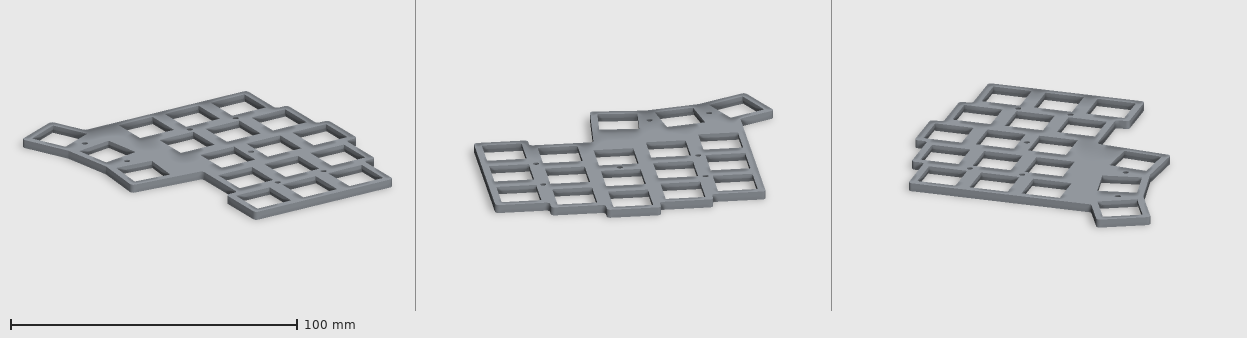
import cadquery as cq
import math

thickness = 3.0
key_pitch = 19.1
key_opening = 14.0
ledge_height = 1.5
ledge_width = 0.5
column_stagger = 4.7
corner_radius = 1.3
screw_diameter = 2.2
half_pitch = key_pitch / 2

matrix_center_x = 6.2
matrix_center_y = 21.0
rows = (-1, 0, 1)
column_steps = {-2: -2, -1: -1, 0: 0, 1: -1, 2: -2}

thumb_arc_radius = 83.8
thumb_step = 15.0
middle_thumb_angle = 10.0
middle_thumb_x = -20.7
middle_thumb_y = -30.8
inner_thumb_angle = middle_thumb_angle - thumb_step
outer_thumb_angle = middle_thumb_angle + thumb_step
thumb_angles = (inner_thumb_angle, middle_thumb_angle, outer_thumb_angle)
thumb_bend_angles = (middle_thumb_angle - thumb_step / 2, middle_thumb_angle + thumb_step / 2)


def polar_offset(radius, angle):
    """Offset of a point at this radius, with the angle measured from +Y towards -X."""
    turn = math.radians(angle)
    return -radius * math.sin(turn), radius * math.cos(turn)


arc_offset_x, arc_offset_y = polar_offset(thumb_arc_radius, middle_thumb_angle)
arc_center_x = middle_thumb_x - arc_offset_x
arc_center_y = middle_thumb_y - arc_offset_y


def arc_point(radius, angle, sideways=0.0):
    """Point above the thumb arc centre, moved sideways along the key's own X direction."""
    offset_x, offset_y = polar_offset(radius, angle)
    turn = math.radians(angle)
    x = arc_center_x + offset_x + sideways * math.cos(turn)
    y = arc_center_y + offset_y + sideways * math.sin(turn)
    return x, y


def column_x(column):
    return matrix_center_x + column * key_pitch


def key_y(column, row):
    return matrix_center_y + column_steps[column] * column_stagger + row * key_pitch


def column_top(column):
    return key_y(column, 1) + half_pitch


def column_bottom(column):
    return key_y(column, -1) - half_pitch


cluster_bottom_radius = thumb_arc_radius - half_pitch
cluster_top_radius = thumb_arc_radius + half_pitch
bend_radius = cluster_bottom_radius / math.cos(math.radians(thumb_step / 2))
bend_points = [arc_point(bend_radius, angle) for angle in thumb_bend_angles]
inner_bottom = arc_point(cluster_bottom_radius, inner_thumb_angle, half_pitch)
outer_bottom = arc_point(cluster_bottom_radius, outer_thumb_angle, -half_pitch)
outer_top = arc_point(cluster_top_radius, outer_thumb_angle, -half_pitch)

left_edge = column_x(-2) - half_pitch
outer_slope = math.tan(math.radians(outer_thumb_angle))
left_junction = (left_edge, outer_top[1] + (left_edge - outer_top[0]) * outer_slope)
notch_y = column_bottom(1)
inner_slope = math.tan(math.radians(inner_thumb_angle))
notch_corner = (inner_bottom[0] - (notch_y - inner_bottom[1]) * inner_slope, notch_y)


def matrix_side_corners():
    """Corners from the left junction, clockwise over the matrix, to the inner thumb key."""
    corners = [left_junction]
    for column in sorted(column_steps):
        corners.append((column_x(column) - half_pitch, column_top(column)))
        corners.append((column_x(column) + half_pitch, column_top(column)))
    step_x = column_x(2) - half_pitch
    corners.append((column_x(2) + half_pitch, column_bottom(2)))
    corners.append((step_x, column_bottom(2)))
    corners.append((step_x, notch_y))
    corners.append(notch_corner)
    corners.append(inner_bottom)
    return corners


def is_rounded(edge):
    """All upright edges are rounded except the two shallow bends below the thumb keys."""
    center = edge.Center()
    return all(math.dist((center.x, center.y), bend) > corner_radius for bend in bend_points)


def make_plate():
    outline = matrix_side_corners() + bend_points + [outer_bottom, outer_top]
    plate = cq.Workplane("XY").polyline(outline).close().extrude(thickness)
    upright_edges = [edge for edge in plate.edges("|Z").vals() if is_rounded(edge)]
    return plate.newObject(upright_edges).fillet(corner_radius)


def make_key_cutter(x, y, angle=0.0):
    """Square opening that widens on all four sides below the ledge, which holds the key switch."""
    base = cq.Workplane("XY").transformed(offset=(x, y, 0), rotate=(0, 0, angle))
    wide_opening = key_opening + 2 * ledge_width
    through_cutter = base.rect(key_opening, key_opening).extrude(thickness)
    recess_cutter = base.rect(wide_opening, wide_opening).extrude(thickness - ledge_height)
    return through_cutter.union(recess_cutter)


screw_points = [(matrix_center_x, matrix_center_y - half_pitch)]
for side in (-1, 1):
    for row in (0, 1):
        gap_x = matrix_center_x + side * 1.5 * key_pitch
        gap_y = (key_y(2, row) + key_y(1, row - 1)) / 2
        screw_points.append((gap_x, gap_y))
for angle in thumb_bend_angles:
    screw_points.append(arc_point(thumb_arc_radius, angle))

result = make_plate()
for column in column_steps:
    for row in rows:
        result = result.cut(make_key_cutter(column_x(column), key_y(column, row)))
for angle in thumb_angles:
    result = result.cut(make_key_cutter(*arc_point(thumb_arc_radius, angle), angle))
screw_cutter = cq.Workplane("XY").pushPoints(screw_points).circle(screw_diameter / 2).extrude(thickness)
result = result.cut(screw_cutter)